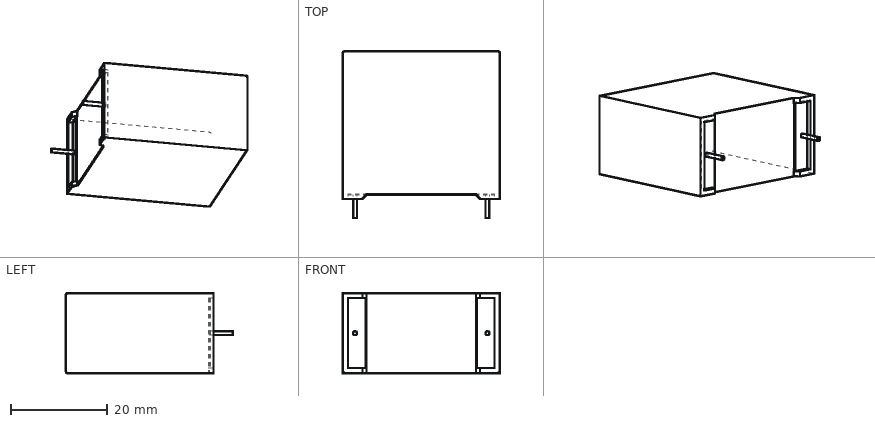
import cadquery as cq

case_width = 32.7
case_length = 30.7
case_height = 16.7
back_edge_radius = 0.5

foot_width = 4.13
relief_depth = 0.87

potting_thickness = 0.17
rim_width = 1.08
pocket_width = 3.7

pin_diameter = 0.85
pin_pitch = 27.5
pin_protrusion = 4.0

half_width = case_width / 2
relief_mouth_half = half_width - foot_width
relief_floor_half = relief_mouth_half - relief_depth
pocket_height = case_height - 2 * rim_width
pocket_centre_x = half_width - rim_width - pocket_width / 2
potting_floor_y = relief_depth + potting_thickness


def block(width, height, centre_x, front_y, back_y):
    """Box centred on Z, spanning front_y to back_y."""
    depth = back_y - front_y
    return cq.Workplane("XY").box(width, depth, height).translate((centre_x, front_y + depth / 2, 0))


def make_potting():
    """Plate crossing the full case height in the relief and reaching under both pockets."""
    pocket_span = 2 * (half_width - rim_width)
    plate = block(2 * relief_floor_half, case_height, 0, relief_depth, potting_floor_y)
    return plate.union(block(pocket_span, pocket_height, 0, relief_depth, potting_floor_y))


def make_relief():
    """Trapezoidal cutter for the gap between the feet."""
    return (
        cq.Workplane("XY")
        .polyline([
            (-relief_mouth_half, 0),
            (relief_mouth_half, 0),
            (relief_floor_half, relief_depth),
            (-relief_floor_half, relief_depth),
        ])
        .close()
        .extrude(case_height / 2, both=True)
    )


def make_case(potting):
    """Block with rounded back edges, relief, foot pockets and a seat for the potting."""
    body = block(case_width, case_height, 0, 0, case_length)
    body = body.faces(">Y").edges().fillet(back_edge_radius)
    body = body.cut(make_relief())
    for side in (-1, 1):
        body = body.cut(block(pocket_width, pocket_height, side * pocket_centre_x, 0, relief_depth))
    return body.cut(potting)


def make_pin(centre_x):
    """Round lead standing on the potting and projecting beyond the feet."""
    return (
        cq.Workplane("XZ", origin=(centre_x, relief_depth, 0))
        .circle(pin_diameter / 2)
        .extrude(relief_depth + pin_protrusion)
    )


potting = make_potting()
case = make_case(potting)
pins = [make_pin(side * pin_pitch / 2) for side in (-1, 1)]

result = cq.Compound.makeCompound([case.solids().val(), potting.solids().val(), *[pin.val() for pin in pins]])